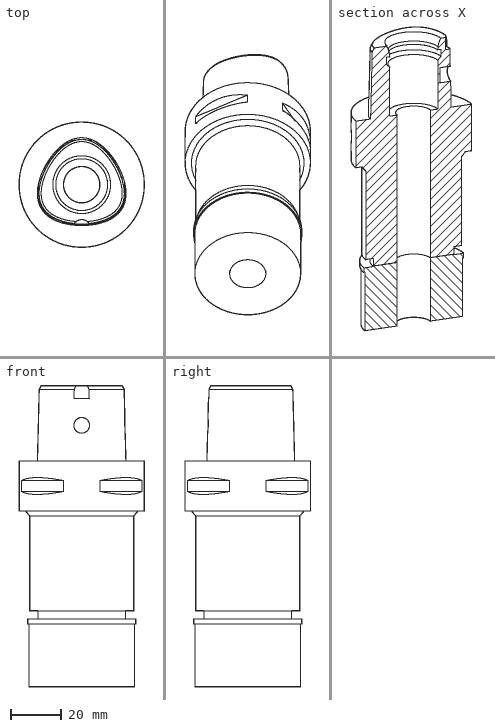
import cadquery as cq
import math

total_height = 120.0
nut_top = 27.0
collar_bottom = 25.0
body_bottom = 30.2
flange_height = 20.0
flange_top = 90.0
flange_bottom = flange_top - flange_height
relief_height = 1.9
relief_bottom = flange_bottom - relief_height

flange_radius = 50.0 / 2
relief_radius = 22.5
body_radius = 20.8
neck_radius = 17.5
collar_radius = 21.6
nut_radius = 21.1
bore_radius = 7.2

shank_mean_radius = 17.5
lobe_height = 1.2
taper_slope = 1 / 40
chamfer_height = 1.5
chamfer_width = 0.8
profile_points = 24

mouth_radius = 11.5
chamber_radius = 10.3
undercut_radius = 11.8
cone_depth = 3.5
land_depth = 4.9
undercut_depth = 7.8
undercut_lead = undercut_radius - chamber_radius
chamber_depth = total_height - flange_top

keyway_radius = 3.6
keyway_inner_y = 13.9
keyway_depth = 5.2
hole_radius = 3.1
hole_drop = 15.8
hole_floor_y = 11.4

slot_count = 4
slot_floor_distance = 22.1
slot_floor_height = 4.3
slot_mouth_height = 6.7
slot_length = 28.8


def cylinder(radius, bottom, top):
    return cq.Workplane("XY").workplane(offset=bottom).circle(radius).extrude(top - bottom)


def lobed_wire(mean_radius, z):
    """Closed three-lobed curve with one lobe pointing to +Y."""
    points = []
    for i in range(profile_points):
        angle = 2 * math.pi * i / profile_points
        x = mean_radius * math.sin(angle) - lobe_height * math.sin(2 * angle)
        y = mean_radius * math.cos(angle) + lobe_height * math.cos(2 * angle)
        points.append(cq.Vector(x, y, z))
    return cq.Wire.assembleEdges([cq.Edge.makeSpline(points, periodic=True)])


def make_shank():
    chamfer_bottom = total_height - chamfer_height
    rim_radius = shank_mean_radius - taper_slope * (chamfer_bottom - flange_top)
    base = lobed_wire(shank_mean_radius, flange_top)
    rim = lobed_wire(rim_radius, chamfer_bottom)
    tip = lobed_wire(rim_radius - chamfer_width, total_height)
    taper = cq.Workplane(cq.Solid.makeLoft([base, rim], True))
    chamfer = cq.Workplane(cq.Solid.makeLoft([rim, tip], True))
    return taper.union(chamfer)


def make_turned_body():
    outline = [
        (0, body_bottom),
        (body_radius, body_bottom),
        (body_radius, relief_bottom),
        (relief_radius, flange_bottom),
        (flange_radius, flange_bottom),
        (flange_radius, flange_top),
        (0, flange_top),
    ]
    body = cq.Workplane("XZ").polyline(outline).close().revolve(360, (0, 0), (0, 1))
    return body.union(cylinder(neck_radius, nut_top, body_bottom))


def make_bore():
    outline = [
        (0, nut_top),
        (bore_radius, nut_top),
        (bore_radius, total_height - chamber_depth),
        (chamber_radius, total_height - chamber_depth),
        (chamber_radius, total_height - undercut_depth - undercut_lead),
        (undercut_radius, total_height - undercut_depth),
        (undercut_radius, total_height - land_depth),
        (chamber_radius, total_height - land_depth),
        (chamber_radius, total_height - cone_depth),
        (mouth_radius, total_height),
        (0, total_height),
    ]
    return cq.Workplane("XZ").polyline(outline).close().revolve(360, (0, 0), (0, 1))


def make_keyway():
    keyway = cylinder(keyway_radius, total_height - keyway_depth, total_height)
    return keyway.translate((0, -(keyway_inner_y + keyway_radius), 0))


def make_side_hole():
    floor = cq.Workplane("XZ", origin=(0, -hole_floor_y, total_height - hole_drop))
    return floor.circle(hole_radius).extrude(flange_radius - hole_floor_y)


def make_gripper_slot(angle):
    """Straight slot across the flange rim that flares towards its mouth."""
    middle = (flange_bottom + flange_top) / 2
    outline = [
        (slot_floor_distance, middle - slot_floor_height / 2),
        (flange_radius, middle - slot_mouth_height / 2),
        (flange_radius, middle + slot_mouth_height / 2),
        (slot_floor_distance, middle + slot_floor_height / 2),
    ]
    slot = cq.Workplane("XZ").polyline(outline).close().extrude(slot_length / 2, both=True)
    return slot.rotate((0, 0, 0), (0, 0, 1), angle)


def make_holder():
    holder = make_turned_body().union(make_shank())
    holder = holder.cut(make_bore()).cut(make_keyway()).cut(make_side_hole())
    for i in range(slot_count):
        holder = holder.cut(make_gripper_slot(360 / slot_count * (i + 0.5)))
    return holder


def make_nut():
    """Plain clamping nut with a collar at its top, seated against the holder's neck."""
    nut = cylinder(nut_radius, 0, nut_top).union(cylinder(collar_radius, collar_bottom, nut_top))
    return nut.cut(cylinder(bore_radius, 0, nut_top))


holder = make_holder()
nut = make_nut()
result = cq.Compound.makeCompound([holder.solids().val(), nut.solids().val()])